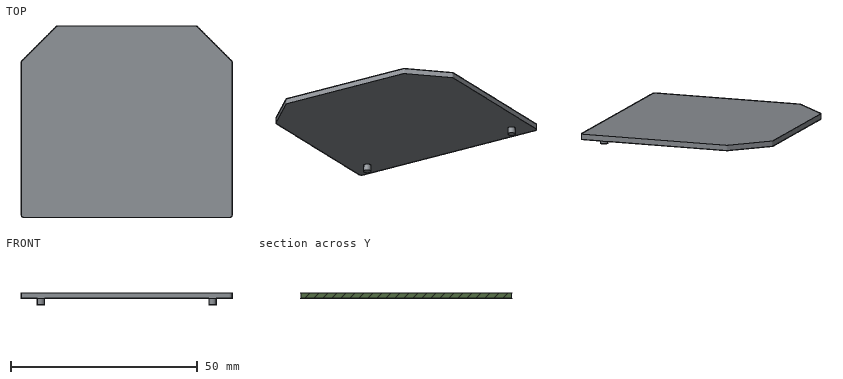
import cadquery as cq

plate_width = 56.5
plate_depth = 51.3
plate_thickness = 1.5
overall_height = 3.2
bevel_size = 9.5
front_corner_radius = 0.8
bevel_corner_radius = 0.5

pin_diameter = 2.0
pin_length = overall_height - plate_thickness
pin_spacing = 46.0
pin_front_offset = 4.8


def make_plate():
    """Flat plate with two rounded front corners and two bevelled rear corners."""
    plate = cq.Workplane("XY").box(
        plate_width, plate_depth, plate_thickness, centered=(True, True, False)
    )
    plate = plate.edges("|Z and >Y").chamfer(bevel_size)
    bevel_edges = plate.edges("|Z").edges("not <Y")
    plate = bevel_edges.fillet(bevel_corner_radius)
    return plate.edges("|Z and <Y").fillet(front_corner_radius)


def make_pins():
    """Pair of round pins hanging from the underside near the front edge."""
    pin_y = pin_front_offset - plate_depth / 2
    return (
        cq.Workplane("XY")
        .pushPoints([(side * pin_spacing / 2, pin_y) for side in (-1, 1)])
        .circle(pin_diameter / 2)
        .extrude(-pin_length)
    )


result = make_plate().union(make_pins())